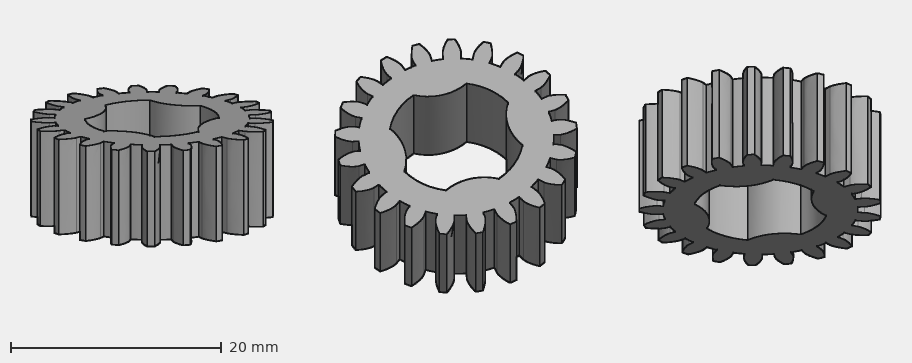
import cadquery as cq
import math

TOOTH_COUNT = 21
PITCH_RADIUS = 10.5
PRESSURE_ANGLE = math.radians(20)
DEDENDUM_RATIO = 1.25
FACE_WIDTH = 9.38

BORE_RADIUS = 6.37
LOBE_COUNT = 4
LOBE_RADIUS = 5.1
LOBE_CLEARANCE = 5.1

FLANK_POINTS = 8

MODULE = 2 * PITCH_RADIUS / TOOTH_COUNT
TIP_RADIUS = PITCH_RADIUS + MODULE
ROOT_RADIUS = PITCH_RADIUS - DEDENDUM_RATIO * MODULE
BASE_RADIUS = PITCH_RADIUS * math.cos(PRESSURE_ANGLE)
LOBE_OFFSET = LOBE_CLEARANCE + LOBE_RADIUS


def involute(angle):
    """Involute function of a pressure angle."""
    return math.tan(angle) - angle


def polar(radius, angle):
    return (radius * math.cos(angle), radius * math.sin(angle))


BASE_HALF_ANGLE = math.pi / (2 * TOOTH_COUNT) + involute(PRESSURE_ANGLE)


def half_angle(radius):
    """Half the angle that a tooth takes up at a radius on its involute flanks."""
    return BASE_HALF_ANGLE - involute(math.acos(BASE_RADIUS / radius))


def flank_points(side):
    """Points from base to tip on one flank of the tooth along +X; side is -1 or 1."""
    tip_roll = math.sqrt((TIP_RADIUS / BASE_RADIUS) ** 2 - 1)
    rolls = [tip_roll * step / (FLANK_POINTS - 1) for step in range(FLANK_POINTS)]
    radii = [BASE_RADIUS * math.sqrt(1 + roll**2) for roll in rolls]
    return [polar(radius, side * half_angle(radius)) for radius in radii]


def make_tooth():
    """One tooth along +X: radial below the base circle, involute above it."""
    lower_flank = flank_points(-1)
    upper_flank = flank_points(1)[::-1]
    return (
        cq.Workplane("XY")
        .lineTo(*lower_flank[0])
        .spline(lower_flank[1:], includeCurrent=True)
        .threePointArc((TIP_RADIUS, 0), upper_flank[0])
        .spline(upper_flank[1:], includeCurrent=True)
        .close()
        .extrude(FACE_WIDTH)
    )


def make_bore():
    """Cutter for the through bore, leaving the four lobes standing."""
    lobes = (
        cq.Workplane("XY")
        .polarArray(LOBE_OFFSET, 0, 360, LOBE_COUNT)
        .circle(LOBE_RADIUS)
        .extrude(FACE_WIDTH)
    )
    return cq.Workplane("XY").circle(BORE_RADIUS).extrude(FACE_WIDTH).cut(lobes)


gear = cq.Workplane("XY").circle(ROOT_RADIUS).extrude(FACE_WIDTH)
tooth = make_tooth()
for index in range(TOOTH_COUNT):
    gear = gear.union(tooth.rotate((0, 0, 0), (0, 0, 1), index * 360 / TOOTH_COUNT))

result = gear.cut(make_bore())